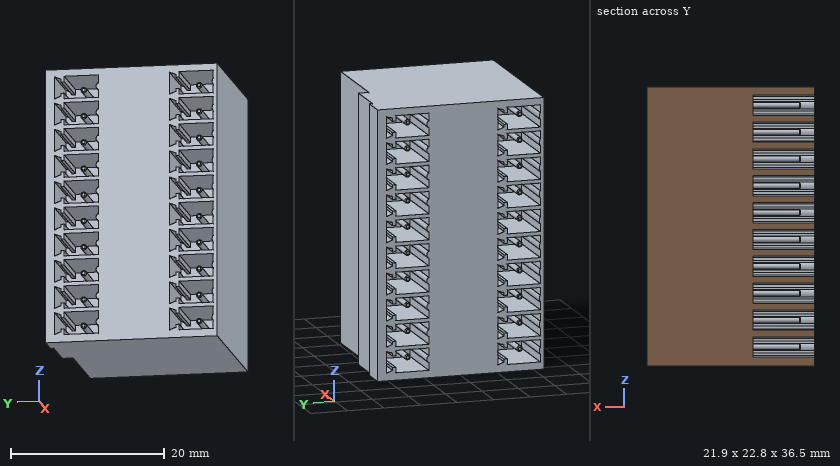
import cadquery as cq

WIDTH_X = 21.9
DEPTH_Y = 22.8
HEIGHT_Z = 36.5
BACK_Y = DEPTH_Y / 2
CONNECTOR_FACE_X = -WIDTH_X / 2

UPPER_STEP_X = 3.58
UPPER_STEP_DROP = 0.45
LOWER_STEP_X = 9.6
LOWER_STEP_DROP = 1.42

ROWS = 10
ROW_PITCH = 3.5
ROW_SHIFT = 0.05
SOCKET_HEIGHT = 3.0
SOCKET_LENGTH = 5.8
SOCKET_DEPTH = 8.03

FLARE_LENGTH = 0.85
TAB_THICKNESS = 0.45
TAB_HEIGHT = 0.73
FLARE_EDGE_INSET = 0.05
FLARE_DROP = 0.35

KEY_HALF_WIDTH = 0.47

PIN_DIAMETER = 0.73
PIN_CHAMFER = 0.15
PIN_RECESS = 1.82

COLUMNS = [
    (10.2, 6.68, 0.3),
    (-5.07, -8.65, 0.15),
]


def housing():
    """Block with two steps along its +Y side."""
    upper_x = CONNECTOR_FACE_X + UPPER_STEP_X
    lower_x = CONNECTOR_FACE_X + LOWER_STEP_X
    middle_y = BACK_Y - UPPER_STEP_DROP
    lower_y = middle_y - LOWER_STEP_DROP
    outline = [
        (CONNECTOR_FACE_X, -BACK_Y),
        (-CONNECTOR_FACE_X, -BACK_Y),
        (-CONNECTOR_FACE_X, lower_y),
        (lower_x, lower_y),
        (lower_x, middle_y),
        (upper_x, middle_y),
        (upper_x, BACK_Y),
        (CONNECTOR_FACE_X, BACK_Y),
    ]
    return cq.Workplane("XY").polyline(outline).close().extrude(HEIGHT_Z / 2, both=True)


def socket(flare_y, pin_y, key_height, z):
    """Hollow of one socket, with its contact pin left standing."""
    half = SOCKET_HEIGHT / 2
    tab_y = flare_y - FLARE_LENGTH
    body_y = tab_y - TAB_THICKNESS
    end_y = flare_y - SOCKET_LENGTH
    upper_half = [
        (body_y, half),
        (body_y, half - TAB_HEIGHT),
        (tab_y, half - TAB_HEIGHT),
        (tab_y, half - FLARE_DROP),
        (flare_y, half - FLARE_EDGE_INSET),
    ]
    lower_half = [(y, -height) for y, height in reversed(upper_half)]

    hollow = (
        cq.Workplane("YZ", origin=(CONNECTOR_FACE_X, 0, z))
        .moveTo(end_y, half)
    )
    for point in upper_half + lower_half:
        hollow = hollow.lineTo(*point)
    hollow = (
        hollow.lineTo(end_y, -half)
        .lineTo(end_y, -KEY_HALF_WIDTH)
        .threePointArc((end_y + key_height, 0), (end_y, KEY_HALF_WIDTH))
        .close()
        .extrude(SOCKET_DEPTH)
    )
    pin = (
        cq.Workplane("YZ", origin=(CONNECTOR_FACE_X + PIN_RECESS, pin_y, z))
        .circle(PIN_DIAMETER / 2)
        .extrude(SOCKET_DEPTH - PIN_RECESS)
        .faces("<X")
        .chamfer(PIN_CHAMFER)
    )
    return hollow.cut(pin)


result = housing()
for flare_y, pin_y, key_height in COLUMNS:
    for row in range(ROWS):
        row_z = (row - (ROWS - 1) / 2) * ROW_PITCH + ROW_SHIFT
        result = result.cut(socket(flare_y, pin_y, key_height, row_z))